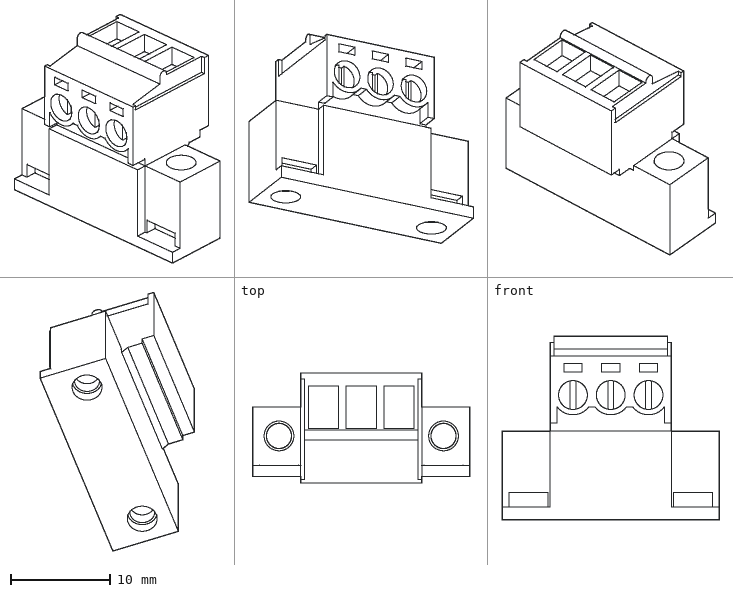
import cadquery as cq


BASE_LENGTH = 21.82
BASE_HEIGHT = 8.92
BASE_FRONT = 0.68
BASE_DEPTH = 7.0
BASE_REAR = BASE_FRONT + BASE_DEPTH
PLATE_HEIGHT = 1.27
FLANGE_FRONT = 1.8

BLOCK_WIDTH = 12.2
BLOCK_DEPTH = 11.1
BLOCK_TOP = 17.85
BLOCK_BOTTOM = 9.7
NECK_REAR = 9.86
GUSSET_DEPTH = 0.65
GUSSET_HEIGHT = 0.6
LIP_TOP = 16.47
LIP_THICKNESS = 0.4
SLOPE_TOP = 17.17

RIB_RADIUS = 0.5
RIB_FRONT = 4.36
RIB_REAR = RIB_FRONT + 2 * RIB_RADIUS
RIB_CREST = 18.45

SIDE_RECESS_DEPTH = 0.4
SIDE_RECESS_FLOOR = 16.0
REAR_WALL_THICKNESS = 0.63
SIDE_RECESS_REAR = BLOCK_DEPTH - REAR_WALL_THICKNESS

POLE_COUNT = 3
POLE_PITCH = 3.8
POLE_POSITIONS = [(i - (POLE_COUNT - 1) / 2) * POLE_PITCH for i in range(POLE_COUNT)]

POCKET_WIDTH = 3.05
POCKET_FRONT = 5.52
POCKET_LENGTH = 4.28
POCKET_REAR = POCKET_FRONT + POCKET_LENGTH
POCKET_DEPTH = 1.99
CLAMP_TOP = BLOCK_TOP - POCKET_DEPTH
CLAMP_HEIGHT = 5.0
CLAMP_BOTTOM = CLAMP_TOP - CLAMP_HEIGHT

WINDOW_WIDTH = 1.81
WINDOW_HEIGHT = 0.87
WINDOW_BOTTOM = 14.84

SCREW_DIAMETER = 2.9
SCREW_HEIGHT = 12.55
SCREW_RECESS = 1.22
SCREW_SLOT_WIDTH = 0.57
SCREW_SLOT_DEPTH = 0.55

UNDERCUT_WIDTH = 10.78
UNDERCUT_TOP = 11.35
SCALLOP_RADIUS = 1.99

HOLE_SPACING = 16.55
HOLE_POSITIONS = [-HOLE_SPACING / 2, HOLE_SPACING / 2]
HOLE_Y = 4.75
HOLE_DIAMETER = 3.0
NUT_BORE = 2.5
NUT_WIDTH = 3.9
NUT_HEIGHT = 1.46
NUT_FRONT = 2.97
NUT_REAR = 2 * HOLE_Y - NUT_FRONT


def box(x_center, width, y_front, y_rear, z_bottom, z_top):
    """Block centred on x_center in X, between the given Y and Z limits."""
    return (
        cq.Workplane("XY")
        .box(width, y_rear - y_front, z_top - z_bottom, centered=(True, False, False))
        .translate((x_center, y_front, z_bottom))
    )


def cylinder_along_y(x_center, radius, y_front, y_rear):
    """Cylinder at screw height, between the given Y limits."""
    return (
        cq.Workplane("XZ", origin=(x_center, y_front, SCREW_HEIGHT))
        .circle(radius)
        .extrude(y_front - y_rear)
    )


def cylinder_along_z(x_center, diameter, height):
    """Cylinder on a flange hole axis, standing on the underside."""
    return cq.Workplane("XY", origin=(x_center, HOLE_Y, 0)).circle(diameter / 2).extrude(height)


def make_base():
    """Full-length base plate with the raised middle and the two set-back flanges."""
    plate = box(0, BASE_LENGTH, BASE_FRONT, BASE_REAR, 0, PLATE_HEIGHT)
    flanges = box(0, BASE_LENGTH, FLANGE_FRONT, BASE_REAR, 0, BASE_HEIGHT)
    middle = box(0, BLOCK_WIDTH, BASE_FRONT, BASE_REAR, 0, BASE_HEIGHT)
    return plate.union(flanges).union(middle)


def make_block():
    """Upper block, extruded along X from its side profile, with the neck down to the base."""
    rib_center_y = RIB_FRONT + RIB_RADIUS
    rib_center_z = RIB_CREST - RIB_RADIUS
    return (
        cq.Workplane("YZ")
        .moveTo(FLANGE_FRONT, BASE_HEIGHT - GUSSET_HEIGHT)
        .lineTo(FLANGE_FRONT, BLOCK_BOTTOM)
        .lineTo(0, BLOCK_BOTTOM)
        .lineTo(0, LIP_TOP)
        .lineTo(LIP_THICKNESS, LIP_TOP)
        .lineTo(RIB_FRONT, SLOPE_TOP)
        .lineTo(RIB_FRONT, rib_center_z)
        .threePointArc((rib_center_y, RIB_CREST), (RIB_REAR, rib_center_z))
        .lineTo(RIB_REAR, BLOCK_TOP)
        .lineTo(BLOCK_DEPTH, BLOCK_TOP)
        .lineTo(BLOCK_DEPTH, BLOCK_BOTTOM)
        .lineTo(NECK_REAR, BLOCK_BOTTOM)
        .lineTo(NECK_REAR, BASE_HEIGHT)
        .lineTo(BASE_REAR + GUSSET_DEPTH, BASE_HEIGHT)
        .lineTo(BASE_REAR, BASE_HEIGHT - GUSSET_HEIGHT)
        .close()
        .extrude(BLOCK_WIDTH / 2, both=True)
    )


def make_side_recesses():
    """Cutters for the recesses in both end faces, open upwards."""
    cutters = cq.Workplane("XY")
    for side in (-1, 1):
        x_center = side * (BLOCK_WIDTH - SIDE_RECESS_DEPTH) / 2
        recess = box(
            x_center, SIDE_RECESS_DEPTH, LIP_THICKNESS, SIDE_RECESS_REAR, SIDE_RECESS_FLOOR, RIB_CREST
        )
        cutters = cutters.union(recess)
    return cutters


def make_undercut():
    """Cutter for the clearance below the screws, leaving a round collar around each of them."""
    cutter = box(0, UNDERCUT_WIDTH, 0, FLANGE_FRONT, BLOCK_BOTTOM, UNDERCUT_TOP)
    for x in POLE_POSITIONS:
        cutter = cutter.cut(cylinder_along_y(x, SCALLOP_RADIUS, 0, FLANGE_FRONT))
    return cutter


def make_housing():
    """Base and upper block in one piece, with the recesses for the clamps, screws and nuts."""
    housing = make_base().union(make_block()).cut(make_side_recesses()).cut(make_undercut())
    for x in POLE_POSITIONS:
        pocket = box(x, POCKET_WIDTH, POCKET_FRONT, POCKET_REAR, CLAMP_BOTTOM, BLOCK_TOP)
        window = box(x, WINDOW_WIDTH, 0, POCKET_FRONT, WINDOW_BOTTOM, WINDOW_BOTTOM + WINDOW_HEIGHT)
        screw_hole = cylinder_along_y(x, SCREW_DIAMETER / 2, 0, POCKET_FRONT)
        housing = housing.cut(pocket).cut(window).cut(screw_hole)
    for x in HOLE_POSITIONS:
        nut_slot = box(x, NUT_WIDTH, FLANGE_FRONT, NUT_REAR, PLATE_HEIGHT, PLATE_HEIGHT + NUT_HEIGHT)
        hole = cylinder_along_z(x, HOLE_DIAMETER, BASE_HEIGHT)
        housing = housing.cut(nut_slot).cut(hole)
    return housing


def make_clamp(x):
    """Clamp block filling the lower part of a wire pocket."""
    return box(x, POCKET_WIDTH, POCKET_FRONT, POCKET_REAR, CLAMP_BOTTOM, CLAMP_TOP)


def make_screw(x):
    """Screw sunk in its hole and reaching the clamp, with an upright driver slot."""
    screw = cylinder_along_y(x, SCREW_DIAMETER / 2, SCREW_RECESS, POCKET_FRONT)
    slot = box(
        x,
        SCREW_SLOT_WIDTH,
        SCREW_RECESS,
        SCREW_RECESS + SCREW_SLOT_DEPTH,
        SCREW_HEIGHT - SCREW_DIAMETER / 2,
        SCREW_HEIGHT + SCREW_DIAMETER / 2,
    )
    return screw.cut(slot)


def make_nut(x):
    """Captive nut at the back of a flange slot, bored smaller than the flange hole."""
    nut = box(x, NUT_WIDTH, NUT_FRONT, NUT_REAR, PLATE_HEIGHT, PLATE_HEIGHT + NUT_HEIGHT)
    return nut.cut(cylinder_along_z(x, NUT_BORE, BASE_HEIGHT))


housing = make_housing()
clamps = [make_clamp(x) for x in POLE_POSITIONS]
screws = [make_screw(x) for x in POLE_POSITIONS]
nuts = [make_nut(x) for x in HOLE_POSITIONS]

result = cq.Compound.makeCompound([body.val() for body in [housing, *clamps, *screws, *nuts]])